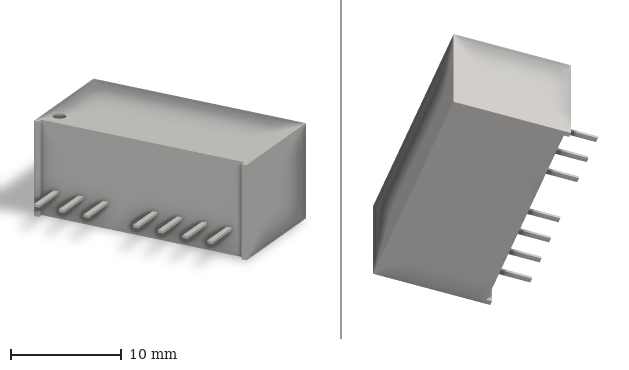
import cadquery as cq

case_length = 21.8
case_height = 9.3
case_depth = 10.7
rail_width = 0.5
rail_depth = 0.5

total_depth = 14.4
pin_width = 0.5
pin_thickness = 0.26
pin_row_length = 17.79
pin_positions = 8
empty_position = 3
pin_center_z = 2.55

mark_diameter = 1.25
mark_depth = 0.41
mark_from_side = 1.5
mark_from_pin_face = 1.5

pin_length = total_depth - case_depth
pin_pitch = pin_row_length / (pin_positions - 1)


def make_case():
    case = cq.Workplane("XY").box(
        case_length, case_depth, case_height, centered=(True, False, False)
    )
    for side in (-1, 1):
        rail_x = side * (case_length - rail_width) / 2
        rail = (
            cq.Workplane("XY")
            .box(rail_width, rail_depth, case_height, centered=(True, False, False))
            .translate((rail_x, -rail_depth, 0))
        )
        case = case.union(rail)
    return case


def make_mark():
    mark_x = -case_length / 2 + mark_from_side
    return (
        cq.Workplane("XY", origin=(mark_x, mark_from_pin_face, case_height))
        .circle(mark_diameter / 2)
        .extrude(-mark_depth)
    )


def make_pin(position):
    pin_x = position * pin_pitch - pin_row_length / 2
    return (
        cq.Workplane("XY")
        .box(pin_width, pin_length, pin_thickness, centered=(True, False, True))
        .translate((pin_x, -pin_length, pin_center_z))
    )


result = make_case().cut(make_mark())
for position in range(pin_positions):
    if position != empty_position:
        result = result.union(make_pin(position))